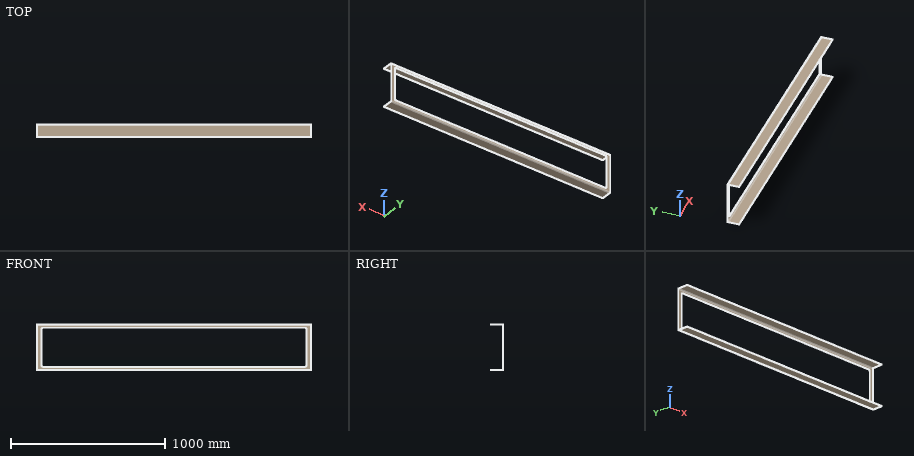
import cadquery as cq

length = 1775.0
depth = 82.0
height = 298.0

thickness = 2.5
inner_bend_radius = 2.5
outer_bend_radius = inner_bend_radius + thickness

side_margin = 30.0
rail_margin = 23.0
window_corner_radius = 10.0


def channel():
    """C-shaped sheet along X, open towards -Y, with rounded bends at the back."""
    outer = (
        cq.Workplane("XY")
        .box(length, depth, height)
        .edges("|X and >Y")
        .fillet(outer_bend_radius)
    )
    inner = (
        cq.Workplane("XY")
        .box(length, depth, height - 2 * thickness)
        .edges("|X and >Y")
        .fillet(inner_bend_radius)
        .translate((0, -thickness, 0))
    )
    return outer.cut(inner)


def window():
    """Round-cornered block that passes through the web."""
    return (
        cq.Workplane("XY")
        .box(length - 2 * side_margin, depth, height - 2 * rail_margin)
        .edges("|Y")
        .fillet(window_corner_radius)
        .translate((0, depth / 2, 0))
    )


result = channel().cut(window())